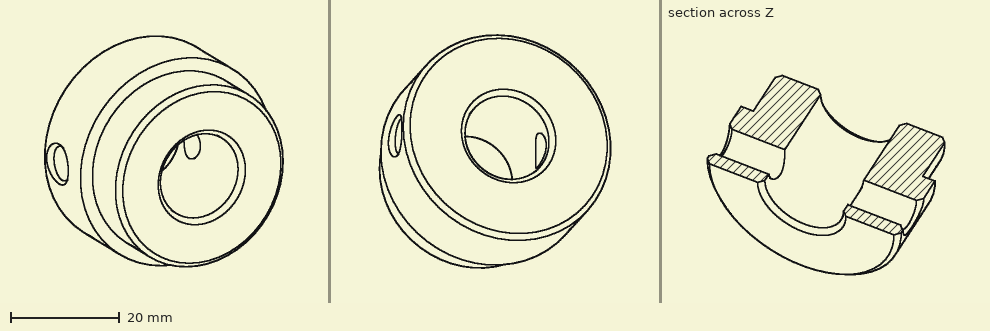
import cadquery as cq

flange_diameter = 40.0
flange_length = 15.0
hub_diameter = 35.0
hub_length = 10.0
bore_diameter = 16.2
cross_hole_diameter = 6.5
cross_hole_x = 6.0
chamfer = 1.0

total_length = flange_length + hub_length
flange_radius = flange_diameter / 2
hub_radius = hub_diameter / 2
bore_radius = bore_diameter / 2
cross_hole_radius = cross_hole_diameter / 2


def make_collar():
    """Revolve the stepped, bored and chamfered half section about X."""
    section = [
        (0, bore_radius + chamfer),
        (0, flange_radius - chamfer),
        (chamfer, flange_radius),
        (flange_length, flange_radius),
        (flange_length, hub_radius),
        (total_length - chamfer, hub_radius),
        (total_length, hub_radius - chamfer),
        (total_length, bore_radius + chamfer),
        (total_length - chamfer, bore_radius),
        (chamfer, bore_radius),
    ]
    return cq.Workplane("XY").polyline(section).close().revolve(360, (0, 0), (1, 0))


def make_cross_hole():
    """Through hole along Y with a 45 degree countersink at each end."""
    sink_radius = cross_hole_radius + chamfer
    sink_start = flange_radius - chamfer
    section = [
        (cross_hole_x, -flange_radius),
        (cross_hole_x + sink_radius, -flange_radius),
        (cross_hole_x + cross_hole_radius, -sink_start),
        (cross_hole_x + cross_hole_radius, sink_start),
        (cross_hole_x + sink_radius, flange_radius),
        (cross_hole_x, flange_radius),
    ]
    return (
        cq.Workplane("XY")
        .polyline(section)
        .close()
        .revolve(360, (cross_hole_x, 0), (cross_hole_x, 1))
    )


result = make_collar().cut(make_cross_hole())